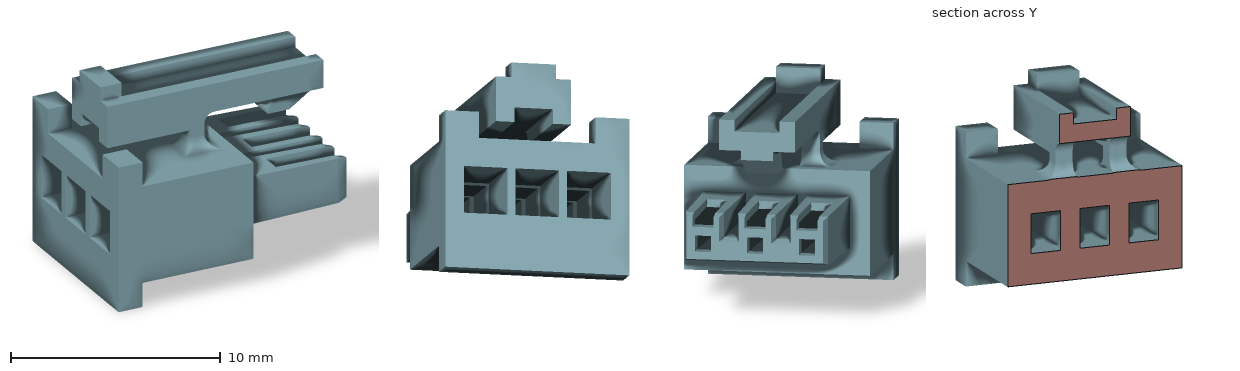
import cadquery as cq


contact_count = 3
contact_pitch = 2.53
contact_columns = [(i - (contact_count - 1) / 2) * contact_pitch for i in range(contact_count)]

housing_width = 9.02
flange_depth = 1.28
flange_lip = 1.27
block_height = 5.07
block_depth = 7.22
block_bottom = flange_lip
block_top = block_bottom + block_height
flange_height = block_top + flange_lip
flange_notch_width = 5.7

nose_end = 12.83
nose_bevel_start = 12.33
nose_middle = 3.85
nose_root_width = 7.08
nose_root_height = 2.51
nose_draft = 0.09
nose_bevel = 0.14
gap_width = 0.69
gap_floor = nose_middle

entry_width = 2.14
entry_bottom = 2.67
entry_top = 4.94
entry_depth = 3.85
throat_width = 1.9
throat_bottom = 2.81
throat_top = 4.81
throat_end = 6.42
chamber_width = 1.5
chamber_top = 4.75
chamber_end = 12.2
chamber_end_bottom = 2.86
chamber_end_top = 4.63
slot_width = 1.03
slot_start = 9.17
slot_floor = 4.39
pin_hole = 0.78
pin_hole_height = 3.58

arm_width = 3.68
arm_start = 0.77
arm_end = nose_bevel_start
arm_top = 9.53
arm_bottom = 8.06
grip_bottom = 7.35
groove_width = 2.18
groove_depth = 0.55
tab_depth = 1.14
tab_top = 10.24
channel_width = 1.89

post_front = 5.22
post_back = 5.97
post_fillet = 0.51
flare_radius = 0.64

hook_width = 1.54
hook_nose_bottom = 7.61
hook_bottom = 6.76
hook_ramp_end = 11.06
hook_catch_top = 7.93
hook_catch_bottom = 6.9
hook_catch_root = 10.3
hook_catch_tip = 9.9


def block(width, y_start, y_end, z_bottom, z_top, x_middle=0.0):
    """Box centred on x_middle, spanning the given Y and Z ranges."""
    return (
        cq.Workplane("XY")
        .box(width, y_end - y_start, z_top - z_bottom, centered=(True, False, False))
        .translate((x_middle, y_start, z_bottom))
    )


def tapered_block(x_middle, start, end):
    """Ruled solid along Y; each end is (y, width, z_bottom, z_top)."""
    y_start, start_width, start_bottom, start_top = start
    y_end, end_width, end_bottom, end_top = end
    start_middle = (start_bottom + start_top) / 2
    end_middle = (end_bottom + end_top) / 2
    return (
        cq.Workplane("XZ", origin=(x_middle, y_start, 0))
        .center(0, start_middle)
        .rect(start_width, start_top - start_bottom)
        .workplane(offset=y_start - y_end)
        .center(0, end_middle - start_middle)
        .rect(end_width, end_top - end_bottom)
        .loft(ruled=True)
    )


def extruded_along_x(profile, width):
    """Extrude a closed YZ profile symmetrically about X = 0."""
    return profile.extrude(width / 2, both=True)


def make_housing():
    flange = block(housing_width, 0, flange_depth, 0, flange_height)
    flange_notch = block(flange_notch_width, 0, flange_depth, block_top, flange_height)
    body = block(housing_width, 0, block_depth, block_bottom, block_top)
    return flange.cut(flange_notch).union(body)


def nose_section(y, inset):
    half_height = nose_root_height / 2 - inset
    return y, nose_root_width - 2 * inset, nose_middle - half_height, nose_middle + half_height


def gap_section(y, growth):
    return y, gap_width + 2 * growth, gap_floor - growth, block_top


def make_nose():
    """Drafted nose with a bevelled end, split on top by a gap between neighbouring contacts."""
    bevel_inset = nose_draft + nose_bevel
    root = nose_section(block_depth, 0)
    shoulder = nose_section(nose_bevel_start, nose_draft)
    tip = nose_section(nose_end, bevel_inset)
    nose = tapered_block(0, root, shoulder).union(tapered_block(0, shoulder, tip))

    gap_root = gap_section(block_depth, -nose_draft)
    gap_shoulder = gap_section(nose_bevel_start, 0)
    gap_tip = gap_section(nose_end, nose_bevel)
    for x in contact_columns[:-1]:
        x_gap = x + contact_pitch / 2
        nose = nose.cut(tapered_block(x_gap, gap_root, gap_shoulder))
        nose = nose.cut(tapered_block(x_gap, gap_shoulder, gap_tip))
    return nose


def make_cavity(x):
    """Stepped wire entry, contact chamber, top slot and pin hole of one contact."""
    entry = block(entry_width, 0, entry_depth, entry_bottom, entry_top, x)
    throat = block(throat_width, entry_depth, throat_end, throat_bottom, throat_top, x)
    chamber = tapered_block(
        x,
        (throat_end, chamber_width, throat_bottom, chamber_top),
        (chamber_end, chamber_width, chamber_end_bottom, chamber_end_top),
    )
    slot = block(slot_width, slot_start, nose_end, slot_floor, block_top, x)
    hole_bottom = pin_hole_height - pin_hole / 2
    hole = block(pin_hole, chamber_end, nose_end, hole_bottom, hole_bottom + pin_hole, x)
    return entry.union(throat).union(chamber).union(slot).union(hole)


def make_arm():
    """Latch arm with its thick finger grip, filleted post and raised tab."""
    side_profile = (
        cq.Workplane("YZ")
        .moveTo(arm_start, arm_top)
        .lineTo(arm_start, grip_bottom)
        .lineTo(post_front, grip_bottom)
        .lineTo(post_front, block_top)
        .lineTo(post_back, block_top)
        .lineTo(post_back, arm_bottom - post_fillet)
        .radiusArc((post_back + post_fillet, arm_bottom), post_fillet)
        .lineTo(arm_end, arm_bottom)
        .lineTo(arm_end, arm_top)
        .close()
    )
    arm = extruded_along_x(side_profile, arm_width)
    tab_end = arm_start + tab_depth
    tab = block(groove_width, arm_start, tab_end, arm_top, tab_top)
    groove = block(groove_width, tab_end, arm_end, arm_top - groove_depth, arm_top)
    return arm.union(tab).cut(groove)


def flare_profile(plane, low, high):
    """Strip from low to high that widens to the block top with a concave arc on each side."""
    flare_top = block_top + flare_radius
    return (
        cq.Workplane(plane)
        .moveTo(low - flare_radius, block_top)
        .radiusArc((low, flare_top), -flare_radius)
        .lineTo(high, flare_top)
        .radiusArc((high + flare_radius, block_top), -flare_radius)
        .close()
    )


def make_post_flare():
    """Concave foot around the post; intersecting two flared bars mitres its corners."""
    foot_width = arm_width + 2 * flare_radius
    along_x = extruded_along_x(flare_profile("YZ", post_front, post_back), foot_width)
    along_y = flare_profile("XZ", -arm_width / 2, arm_width / 2).extrude(-block_depth)
    return along_x.intersect(along_y)


def make_hook():
    profile = cq.Workplane("YZ").polyline(
        [
            (arm_end, arm_bottom),
            (arm_end, hook_nose_bottom),
            (hook_ramp_end, hook_bottom),
            (hook_catch_tip, hook_bottom),
            (hook_catch_tip, hook_catch_bottom),
            (hook_catch_root, hook_catch_top),
            (hook_catch_root, arm_bottom),
        ]
    )
    return extruded_along_x(profile.close(), hook_width)


def make_latch():
    channel_end = post_back + flare_radius
    channel = block(channel_width, arm_start, channel_end, block_top, arm_bottom)
    return make_arm().union(make_post_flare()).cut(channel).union(make_hook())


result = make_housing().union(make_nose())
for column in contact_columns:
    result = result.cut(make_cavity(column))
result = result.union(make_latch())